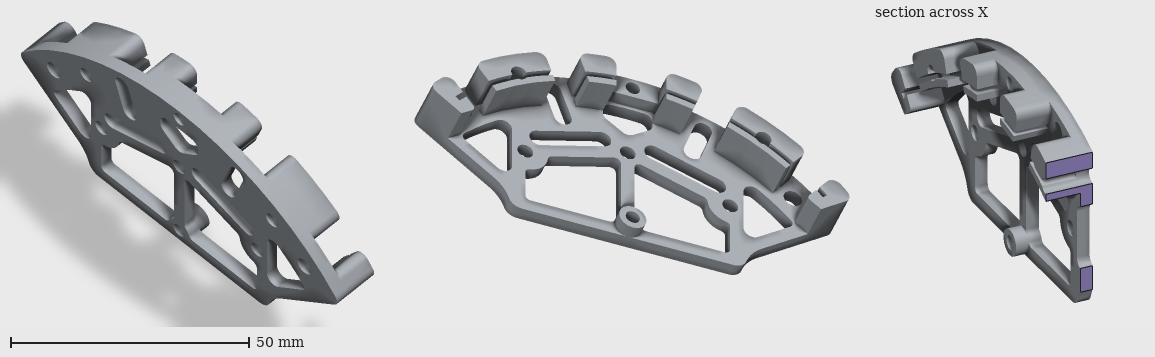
import cadquery as cq
import math

plate_thickness = 3.0
pad_height = 6.0
block_height = 11.0

top_z = 43.64
rim_radius = 60.5
rim_centre_z = top_z - rim_radius
tip_x = 47.6
flank_angle = math.radians(37.6)
foot_angle = math.radians(72.0)
foot_half_width = 25.95
tip_rounding = 2.0
foot_rounding = 3.0
flank_rounding = 9.7

small_hole_diameter = 3.2
screw_hole_diameter = 3.55
outer_hole_diameter = 4.1
top_hole = (0.0, 41.0)
bottom_hole = (0.0, 3.05)
centre_hole = (0.0, 24.75)
lower_hole = (-23.0, 17.2)
upper_hole = (-27.45, 31.3)
outer_hole = (-37.05, 24.25)
bottom_boss_radius = 3.05

slot_radius = 2.0
slot_tilt = 18.0
radial_slot_centre = (-15.72, 33.7)
radial_slot_length = 7.55
lower_slot_centre = (-12.9, 24.45)
lower_slot_length = 15.1

web_half_width = 1.55
bottom_bar = 3.1
side_window_x = -26.0
side_window_rim_radius = 50.35
side_window_tip_x = -37.6
main_window_left = -23.0
main_window_corner = (-1.55, 22.75)
lower_hole_wall_radius = 5.1
top_window_half_width = 5.56
top_window_rim_radius = 54.55
top_window_shoulder_z = 33.6
top_window_apex_z = 29.6
window_rounding = 2.0
small_rounding = 1.25

outer_channel_half_width = 3.9
inner_channel_half_width = 4.0
outer_channel_axis = (-37.25, 24.1)
outer_channel_tilt = 36.0
inner_channel_tilt = 18.0
channel_end_depth = 30.0
block_inner_radius = 52.4
groove_inner_radius = 54.0
groove_outer_radius = 55.3
groove_half_angle = math.radians(49.0)
end_block_depth = 35.8
pad_half_width = 5.6
pad_overlap = 1.0
pad_bottom_z = rim_centre_z + groove_outer_radius
block_rounding = 2.0
end_block_inner_rounding = 1.0
beyond_rim = 60.0


def prism(wire, start, end):
    """Extrude a closed XZ sketch from y = start to y = end."""
    return wire.extrude(-(end - start)).translate((0, start, 0))


def polygon(points, start, end):
    return prism(cq.Workplane("XZ").polyline(points).close(), start, end)


def disc(centre, radius, start, end):
    return prism(cq.Workplane("XZ").center(*centre).circle(radius), start, end)


def mirrored(body):
    return body.union(body.mirror("YZ"))


def round_corners(body, corners, radius):
    """Round the edges along Y that stand nearest to the given (x, z) corners."""
    mid_y = body.val().BoundingBox().center.y
    for x, z in corners:
        edge = body.edges("|Y").edges(cq.NearestToPointSelector((x, mid_y, z)))
        body = edge.fillet(radius)
    return body


def arc_z(radius, x):
    """Height at x of a circle that shares its centre with the rim."""
    return rim_centre_z + math.sqrt(radius ** 2 - x ** 2)


def outline_body():
    """Plate outline extruded to the full block height."""
    tip_z = arc_z(rim_radius, tip_x)
    flank = math.tan(flank_angle)
    foot = math.tan(foot_angle)
    knee_x = (tip_z - flank * tip_x + foot * foot_half_width) / (foot - flank)
    knee_z = foot * (knee_x - foot_half_width)
    sketch = (
        cq.Workplane("XZ")
        .moveTo(-tip_x, tip_z)
        .threePointArc((0, top_z), (tip_x, tip_z))
        .lineTo(knee_x, knee_z)
        .lineTo(foot_half_width, 0)
        .lineTo(-foot_half_width, 0)
        .lineTo(-knee_x, knee_z)
        .close()
    )
    body = prism(sketch, 0, block_height)
    for side in (-1, 1):
        body = round_corners(body, [(side * foot_half_width, 0)], foot_rounding)
        body = round_corners(body, [(side * knee_x, knee_z)], flank_rounding)
        body = round_corners(body, [(side * tip_x, tip_z)], tip_rounding)
    return body


def side_window():
    tip = (side_window_tip_x, arc_z(side_window_rim_radius, side_window_tip_x))
    top = (side_window_x, arc_z(side_window_rim_radius, side_window_x))
    mid_x = (tip[0] + top[0]) / 2
    bottom = (side_window_x, tip[1] - math.tan(flank_angle) * (side_window_x - tip[0]))
    sketch = (
        cq.Workplane("XZ")
        .moveTo(*tip)
        .threePointArc((mid_x, arc_z(side_window_rim_radius, mid_x)), top)
        .lineTo(*bottom)
        .close()
    )
    body = prism(sketch, 0, plate_thickness)
    body = round_corners(body, [top, bottom], window_rounding)
    return round_corners(body, [tip], small_rounding)


def main_window():
    corner_x, corner_z = main_window_corner
    slope = math.tan(math.radians(slot_tilt))
    upper_left = (main_window_left, corner_z - slope * (corner_x - main_window_left))
    lower_left = (main_window_left, bottom_bar)
    body = polygon(
        [upper_left, main_window_corner, (-web_half_width, bottom_bar), lower_left],
        0, plate_thickness,
    )
    body = body.cut(disc(lower_hole, lower_hole_wall_radius, 0, plate_thickness))
    body = body.cut(disc(bottom_hole, bottom_boss_radius, 0, plate_thickness))
    wall_left = (main_window_left, lower_hole[1] - lower_hole_wall_radius)
    wall_right = (lower_hole[0] + lower_hole_wall_radius, lower_hole[1])
    boss_side = (-bottom_boss_radius, bottom_bar)
    boss_top = (-web_half_width, bottom_hole[1] + bottom_boss_radius)
    return round_corners(
        body,
        [main_window_corner, lower_left, wall_left, wall_right, boss_side, boss_top],
        small_rounding,
    )


def top_window():
    half = top_window_half_width
    top = arc_z(top_window_rim_radius, half)
    sketch = (
        cq.Workplane("XZ")
        .moveTo(-half, top)
        .threePointArc((0, rim_centre_z + top_window_rim_radius), (half, top))
        .lineTo(half, top_window_shoulder_z)
        .lineTo(0, top_window_apex_z)
        .lineTo(-half, top_window_shoulder_z)
        .close()
    )
    corners = [(0, top_window_apex_z)]
    for side in (-half, half):
        corners += [(side, top), (side, top_window_shoulder_z)]
    return round_corners(prism(sketch, 0, plate_thickness), corners, window_rounding)


def slot(centre, length, angle):
    sketch = (
        cq.Workplane("XZ")
        .center(*centre)
        .slot2D(length + 2 * slot_radius, 2 * slot_radius, angle)
    )
    return prism(sketch, 0, plate_thickness)


def channel_frame(axis_point, tilt):
    """Return a map from (offset right of the axis, depth) to (x, z).

    Depth runs outward along the channel, which leans left by the tilt."""
    across = (math.cos(math.radians(tilt)), math.sin(math.radians(tilt)))
    axis_offset = axis_point[0] * across[0] + axis_point[1] * across[1]

    def place(offset, depth):
        n = axis_offset + offset
        return (n * across[0] - depth * across[1], n * across[1] + depth * across[0])

    return place


def rim_crossing(place, offset):
    """Point where a channel wall meets the rim."""
    x, z = place(offset, 0)
    next_x, next_z = place(offset, 1)
    height = z - rim_centre_z
    along = x * (next_x - x) + height * (next_z - z)
    distance_squared = x ** 2 + height ** 2
    return place(offset, math.sqrt(along ** 2 + rim_radius ** 2 - distance_squared) - along)


def channel_wall(place, offset, end_depth):
    """Straight channel wall, from outside the rim inward."""
    return [place(offset, beyond_rim), place(offset, end_depth)]


def rim_disc(radius, start, end):
    """Disc about the rim centre."""
    return disc((0, rim_centre_z), radius, start, end)


def end_block(outer, full_body):
    offset = -outer_channel_half_width
    wall = channel_wall(outer, offset, end_block_depth)
    far_left = [outer(-beyond_rim, end_block_depth), outer(-beyond_rim, beyond_rim)]
    body = polygon(wall + far_left, 0, block_height).intersect(full_body)
    body = round_corners(body, [wall[-1]], end_block_inner_rounding)
    return round_corners(body, [rim_crossing(outer, offset)], block_rounding)


def rim_block(left_side, right_side, corners, full_body):
    """Block between two sides, each listed from outside the rim inward."""
    body = polygon(left_side + right_side[::-1], 0, block_height).intersect(full_body)
    body = body.cut(rim_disc(block_inner_radius, 0, block_height))
    return round_corners(body, corners, block_rounding)


def rim_groove():
    """Arc-shaped groove through the blocks, closed inside the end blocks."""
    ring = rim_disc(groove_outer_radius, plate_thickness, block_height)
    ring = ring.cut(rim_disc(groove_inner_radius, plate_thickness, block_height))
    side_x = beyond_rim * math.sin(groove_half_angle)
    side_z = rim_centre_z + beyond_rim * math.cos(groove_half_angle)
    sector = [
        (0, rim_centre_z),
        (side_x, side_z),
        (side_x, rim_centre_z + beyond_rim),
        (-side_x, rim_centre_z + beyond_rim),
        (-side_x, side_z),
    ]
    return ring.intersect(polygon(sector, plate_thickness, block_height))


def blocks(full_body):
    """The three raised blocks on the left half."""
    outer = channel_frame(outer_channel_axis, outer_channel_tilt)
    inner = channel_frame(radial_slot_centre, inner_channel_tilt)
    outer_half = outer_channel_half_width
    inner_half = inner_channel_half_width
    middle_block = rim_block(
        channel_wall(outer, outer_half, channel_end_depth),
        channel_wall(inner, -inner_half, channel_end_depth),
        [rim_crossing(outer, outer_half), rim_crossing(inner, -inner_half)],
        full_body,
    )
    pad_corner = (-pad_half_width, arc_z(rim_radius, pad_half_width))
    top_block = rim_block(
        channel_wall(inner, inner_half, channel_end_depth),
        [(-pad_half_width, beyond_rim), (-pad_half_width, channel_end_depth)],
        [rim_crossing(inner, inner_half), pad_corner],
        full_body,
    )
    all_blocks = end_block(outer, full_body).union(middle_block).union(top_block)
    return all_blocks.cut(rim_groove())


def raised_features(full_body):
    """Everything that stands behind the plate; the pad still overshoots the rim."""
    raised = mirrored(blocks(full_body))
    pad_side = pad_half_width + block_rounding + pad_overlap
    pad_corners = [
        (-pad_side, pad_bottom_z),
        (pad_side, pad_bottom_z),
        (pad_side, beyond_rim),
        (-pad_side, beyond_rim),
    ]
    pad = polygon(pad_corners, 0, pad_height)
    boss = disc(bottom_hole, bottom_boss_radius, 0, pad_height)
    return raised.union(pad).union(boss)


def build():
    full_body = outline_body()
    behind_plate = disc((0, 0), 2 * beyond_rim, plate_thickness, block_height)
    part = full_body.cut(behind_plate.cut(raised_features(full_body)))

    for window in (side_window(), main_window()):
        part = part.cut(mirrored(window))
    part = part.cut(top_window())
    part = part.cut(mirrored(slot(radial_slot_centre, radial_slot_length, 90 + slot_tilt)))
    part = part.cut(mirrored(slot(lower_slot_centre, lower_slot_length, slot_tilt)))

    holes = [
        (top_hole, small_hole_diameter),
        (bottom_hole, small_hole_diameter),
        (centre_hole, screw_hole_diameter),
        (lower_hole, screw_hole_diameter),
        (upper_hole, screw_hole_diameter),
        (outer_hole, outer_hole_diameter),
    ]
    for centre, diameter in holes:
        part = part.cut(mirrored(disc(centre, diameter / 2, 0, block_height)))
    return part


result = build()